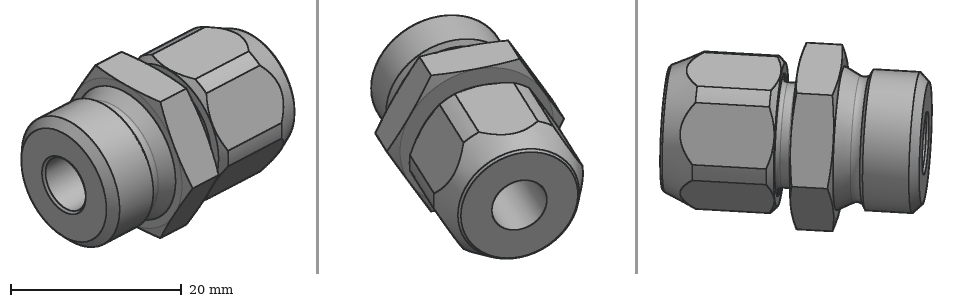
import cadquery as cq
import math

total_length = 30.5

thread_end = 6.55
groove_start = 6.95
groove_end = 8.1
body_hex_start = 10.0
body_hex_end = 15.0
nut_start = 17.0

thread_radius = 8.3
thread_chamfer = 1.1
groove_shoulder_radius = 7.58
groove_collar_radius = 7.48
groove_bottom_radius = 7.38
collar_radius = 8.48

hex_sides = 6
hex_half_angle = math.pi / hex_sides

body_across_flats = 19.0
body_chamfer_angle = 15.0

neck_radius = 6.2
neck_body_fillet = 0.5
neck_nut_fillet = 0.7
neck_straight_end = 16.5

nut_across_flats = 17.0
nut_corner_radius = 9.25
nut_taper_start = 26.5
nut_taper_angle = 25.0
nut_rear_chamfer = 0.8
nut_lip_height = 0.28
nut_lip_inset = 0.28
nut_recess_radius = 7.2
nut_recess_floor = neck_straight_end + neck_nut_fillet

bore_radius = 3.4
bore_chamfer = 0.3


def revolve_about_y(profile):
    """Turn a closed (radius, y) profile around the Y axis."""
    return profile.close().revolve(360, (0, 0, 0), (0, 1, 0))


def hex_bar(across_flats, start, end):
    """Hexagonal bar along Y with one pair of flats facing +Z and -Z."""
    across_corners = across_flats / math.cos(hex_half_angle)
    plane = cq.Workplane("XZ", origin=(0, start, 0))
    return plane.polygon(hex_sides, across_corners).extrude(start - end)


def make_spigot():
    groove_middle = (groove_start + groove_end) / 2
    profile = (
        cq.Workplane("XY")
        .lineTo(thread_radius - thread_chamfer, 0)
        .lineTo(thread_radius, thread_chamfer)
        .lineTo(thread_radius, thread_end)
        .lineTo(groove_shoulder_radius, groove_start)
        .threePointArc((groove_bottom_radius, groove_middle), (groove_collar_radius, groove_end))
        .lineTo(collar_radius, body_hex_start)
        .lineTo(0, body_hex_start)
    )
    return revolve_about_y(profile)


def make_body_hex():
    flat_radius = body_across_flats / 2
    corner_radius = flat_radius / math.cos(hex_half_angle)
    chamfer_height = (corner_radius - flat_radius) * math.tan(math.radians(body_chamfer_angle))
    envelope = (
        cq.Workplane("XY")
        .moveTo(0, body_hex_start)
        .lineTo(flat_radius, body_hex_start)
        .lineTo(corner_radius, body_hex_start + chamfer_height)
        .lineTo(corner_radius, body_hex_end - chamfer_height)
        .lineTo(flat_radius, body_hex_end)
        .lineTo(0, body_hex_end)
    )
    return hex_bar(body_across_flats, body_hex_start, body_hex_end).intersect(revolve_about_y(envelope))


def make_neck():
    profile = (
        cq.Workplane("XY")
        .moveTo(0, body_hex_end)
        .lineTo(neck_radius + neck_body_fillet, body_hex_end)
        .radiusArc((neck_radius, body_hex_end + neck_body_fillet), neck_body_fillet)
        .lineTo(neck_radius, neck_straight_end)
        .radiusArc((neck_radius + neck_nut_fillet, nut_recess_floor), neck_nut_fillet)
        .lineTo(0, nut_recess_floor)
    )
    return revolve_about_y(profile)


def make_nut():
    lip_start = total_length - nut_lip_height
    taper_inset = (lip_start - nut_taper_start) * math.tan(math.radians(nut_taper_angle))
    lip_radius = nut_corner_radius - taper_inset
    envelope = (
        cq.Workplane("XY")
        .moveTo(0, nut_recess_floor)
        .lineTo(nut_recess_radius, nut_recess_floor)
        .lineTo(nut_recess_radius, nut_start)
        .lineTo(nut_corner_radius - nut_rear_chamfer, nut_start)
        .lineTo(nut_corner_radius, nut_start + nut_rear_chamfer)
        .lineTo(nut_corner_radius, nut_taper_start)
        .lineTo(lip_radius, lip_start)
        .lineTo(lip_radius - nut_lip_inset, total_length)
        .lineTo(0, total_length)
    )
    return hex_bar(nut_across_flats, nut_start, total_length).intersect(revolve_about_y(envelope))


def make_bore():
    profile = (
        cq.Workplane("XY")
        .lineTo(bore_radius + bore_chamfer, 0)
        .lineTo(bore_radius, bore_chamfer)
        .lineTo(bore_radius, total_length)
        .lineTo(0, total_length)
    )
    return revolve_about_y(profile)


solid_fitting = make_spigot().union(make_body_hex()).union(make_neck()).union(make_nut())
result = solid_fitting.cut(make_bore())